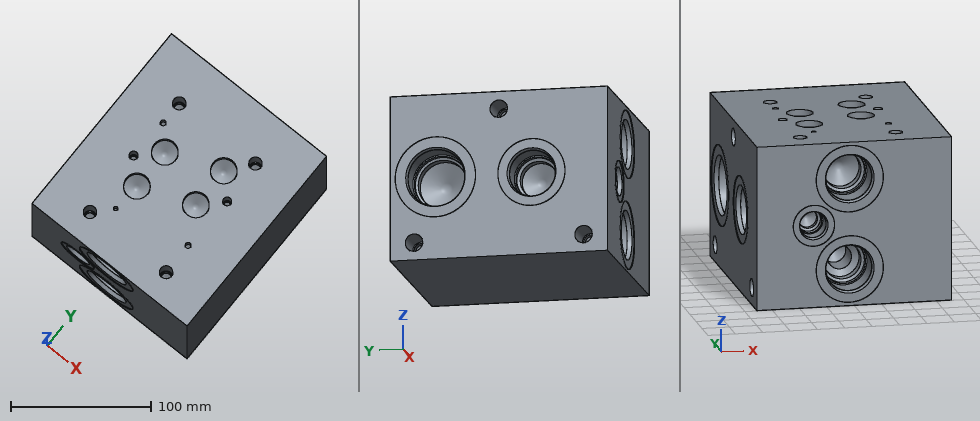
import cadquery as cq
import math

LENGTH_X = 142.2
LENGTH_Y = 158.8
LENGTH_Z = 120.6

DRILL_POINT_ANGLE = 118.0
SPOTFACE_DEPTH = 0.6
SEAT_DEPTH = 3.8

LARGE_PORT = dict(spotface=58.7, mouth=43.5, throat=41.8, full=41.3, minor=39.2, drill=35.5,
                  full_depth=19.7, minor_depth=23.5, drill_depth=31.8)
MEDIUM_PORT = dict(spotface=49.0, mouth=35.7, throat=33.8, full=33.3, minor=31.3, drill=27.0,
                   full_depth=19.7, minor_depth=23.5, drill_depth=31.8)
SMALL_PORT = dict(spotface=30.2, mouth=20.8, throat=19.4, full=19.0, minor=17.5, drill=13.8,
                  full_depth=14.3, minor_depth=19.0, drill_depth=23.8)

PORT_T = (46.4, 0.0)
PORT_P = (-23.8, 0.0)
WORK_PORT_X = -3.2
WORK_PORT_Z = 33.3
PORT_Y = (-29.4, 0.0)
PORT_A_PASSAGE_DIAMETER = 17.3
PORT_A_PASSAGE_DEPTH = 54.0

MOUNT_MAJOR, MOUNT_DRILL = 12.7, 10.8
MOUNT_THREAD_DEPTH, MOUNT_DRILL_DEPTH = 25.4, 30.2
MOUNT_Y = 61.9
MOUNT_Z = 47.6

PATTERN_Y = -7.5
BOLT_MAJOR, BOLT_DRILL = 9.5, 8.0
BOLT_THREAD_DEPTH, BOLT_DRILL_DEPTH = 19.0, 23.8
BOLT_X = 35.0
BOLT_Y = 50.8
SCREW_MAJOR, SCREW_DRILL = 6.4, 5.1
SCREW_THREAD_DEPTH, SCREW_DRILL_DEPTH = 12.7, 15.9
SCREWS = [(-36.5, 0.8), (36.5, 16.7)]
FLOW_DIAMETER = 19.0
FLOW_DEPTH = 5.1
FLOW_HOLES = [(-20.6, 16.7), (-20.6, -15.1), (20.6, 32.5), (20.6, 0.8)]
PIN_DIAMETER = 4.3
PIN_DEPTH = 8.0
PINS = [(-BOLT_X, 32.5), (BOLT_X, -25.7)]
PILOT_DIAMETER = 3.2
PILOT_DEPTH = 8.0
PILOT = (-22.2, -37.3)


def tip_length(radius):
    """Length of a drill point that narrows from the given radius to zero."""
    return radius / math.tan(math.radians(DRILL_POINT_ANGLE / 2))


def turned_cutter(steps):
    """Solid turned about +Z from (diameter, depth) steps, closed by a drill point; the mouth is at z = 0."""
    outline = [(diameter / 2, depth) for diameter, depth in steps]
    last_radius, last_depth = outline[-1]
    tip = (0, last_depth + tip_length(last_radius))
    points = [(0, 0)] + outline + [tip]
    return cq.Workplane("XZ").polyline(points).close().revolve(360, (0, 0), (0, 1))


def plain_hole(diameter, depth):
    return turned_cutter([(diameter, 0), (diameter, depth)])


def tapped_hole(major, drill, thread_depth, drill_depth):
    return turned_cutter([(major, 0), (major, thread_depth), (drill, thread_depth), (drill, drill_depth)])


def port(size):
    """O-ring port: spotface, conical seat, thread bore and pilot drill."""
    chamfer_depth = size["minor_depth"] + tip_length((size["minor"] - size["drill"]) / 2)
    return turned_cutter([
        (size["spotface"], 0),
        (size["spotface"], SPOTFACE_DEPTH),
        (size["mouth"], SPOTFACE_DEPTH),
        (size["throat"], SEAT_DEPTH),
        (size["full"], SEAT_DEPTH),
        (size["full"], size["full_depth"]),
        (size["minor"], size["full_depth"]),
        (size["minor"], size["minor_depth"]),
        (size["drill"], chamfer_depth),
        (size["drill"], size["drill_depth"]),
    ])


def from_top(cutter, x, y):
    return cutter.rotate((0, 0, 0), (1, 0, 0), 180).translate((x, y, LENGTH_Z / 2))


def from_left(cutter, y, z):
    """Aim a cutter along +X, entering the -X face."""
    return cutter.rotate((0, 0, 0), (0, 1, 0), 90).translate((-LENGTH_X / 2, y, z))


def from_front(cutter, x, z):
    """Aim a cutter along +Y, entering the -Y face."""
    return cutter.rotate((0, 0, 0), (1, 0, 0), -90).translate((x, -LENGTH_Y / 2, z))


block = cq.Workplane("XY").box(LENGTH_X, LENGTH_Y, LENGTH_Z)

cutters = [
    from_left(port(LARGE_PORT), *PORT_T),
    from_left(port(MEDIUM_PORT), *PORT_P),
    from_front(port(MEDIUM_PORT), WORK_PORT_X, WORK_PORT_Z),
    from_front(port(MEDIUM_PORT), WORK_PORT_X, -WORK_PORT_Z),
    from_front(plain_hole(PORT_A_PASSAGE_DIAMETER, PORT_A_PASSAGE_DEPTH), WORK_PORT_X, -WORK_PORT_Z),
    from_front(port(SMALL_PORT), *PORT_Y),
]

mount_hole = tapped_hole(MOUNT_MAJOR, MOUNT_DRILL, MOUNT_THREAD_DEPTH, MOUNT_DRILL_DEPTH)
for y, z in [(0, MOUNT_Z), (-MOUNT_Y, -MOUNT_Z), (MOUNT_Y, -MOUNT_Z)]:
    cutters.append(from_left(mount_hole, y, z))

bolts = [(x, y) for x in (-BOLT_X, BOLT_X) for y in (-BOLT_Y, BOLT_Y)]
pattern = [
    (tapped_hole(BOLT_MAJOR, BOLT_DRILL, BOLT_THREAD_DEPTH, BOLT_DRILL_DEPTH), bolts),
    (tapped_hole(SCREW_MAJOR, SCREW_DRILL, SCREW_THREAD_DEPTH, SCREW_DRILL_DEPTH), SCREWS),
    (plain_hole(FLOW_DIAMETER, FLOW_DEPTH), FLOW_HOLES),
    (plain_hole(PIN_DIAMETER, PIN_DEPTH), PINS),
    (plain_hole(PILOT_DIAMETER, PILOT_DEPTH), [PILOT]),
]
for cutter, places in pattern:
    for x, y in places:
        cutters.append(from_top(cutter, x, y + PATTERN_Y))

result = block
for cutter in cutters:
    result = result.cut(cutter)